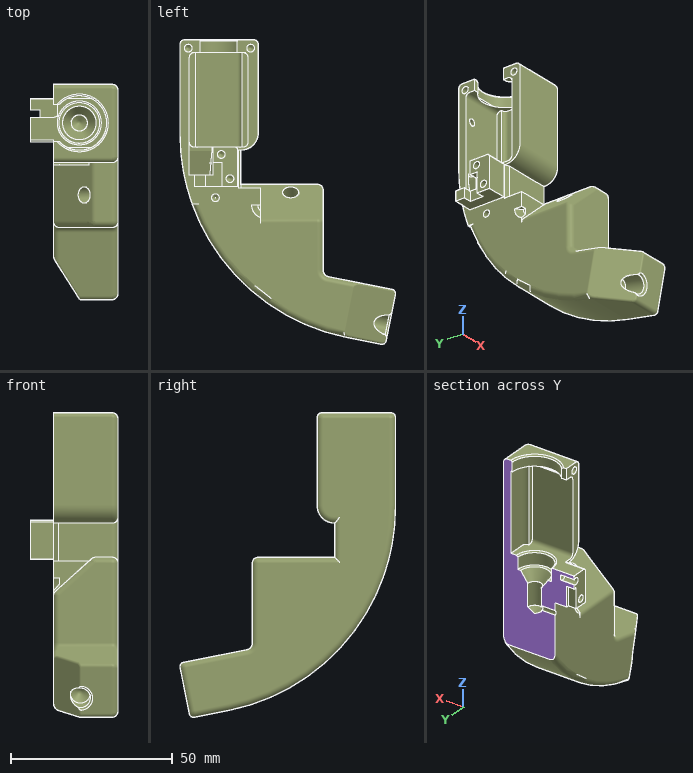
import cadquery as cq
import math


WIDTH = 20.0
HEIGHT = 94.33
LENGTH = 66.77
HOUSING_DEPTH = 24.3
HOUSING_FLOOR = 61.1
HOUSING_UNDERSIDE = 60.1
NECK_DEPTH = 18.9
GRIP_DEPTH = 44.4
GRIP_TOP = 49.6
SPINE_RADIUS = 64.3
TIP_ANGLE = 11.3
TIP_HEIGHT = 17.4

EDGE_RADIUS = 1.9
HOUSING_CORNER_RADIUS = 1.5
TIP_CORNER_RADIUS = 1.4
ELBOW_RADIUS = 1.95
NECK_CHAMFER_LENGTH = 1.6
NECK_CHAMFER_DEPTH = 0.8
SPINE_ROUNDING_TOP = 43.5

SLOPE_BOTTOM = 38.5
SLOPE_ANGLE = 42.0
TIP_BEVEL_LENGTH = 13.2
TIP_BEVEL_WIDTH = 8.2
TIP_BEVEL_RADIUS = 0.8

LEDGE_DEPTH = 25.0
LEDGE_TOP = 48.4
LEDGE_WIDTH = 11.8
SCOOP_RADIUS = 4.2
SCOOP_CENTRE_DEPTH = 26.4
SCOOP_CENTRE_HEIGHT = 43.2

BORE_X = 8.0
BORE_DEPTH = 12.0
CAVITY_HALF_WIDTH = 9.1
CAVITY_X = 15.4
CAVITY_CEILING = 90.3
CAVITY_RADIUS = 1.5
RECESS_HALF_WIDTH = 7.2
RECESS_X = 16.9
RECESS_RADIUS = 1.3
LID_RADIUS = 8.45
LID_SLOT_HALF_WIDTH = 5.7
RIM_CHAMFER = 0.5
SEAT_RADIUS = 6.3
SEAT_BOTTOM = 56.2
FUNNEL_TOP_RADIUS = 5.2
FUNNEL_BOTTOM_RADIUS = 2.5
FUNNEL_BOTTOM = 52.5
FUNNEL_HOLE_BOTTOM = 44.0

POCKET_BACK_DEPTH = 2.9
POCKET_FRONT_DEPTH = 10.3
POCKET_BOTTOM = 52.5
POCKET_TOP = 59.8
POCKET_TOP_X = 1.2
POCKET_BOTTOM_X = 3.0
POCKET_TAPER = 1.0

LATCH_REACH = 7.15
LATCH_BOTTOM = 48.9
LATCH_FRONT_DEPTH = 17.9
LATCH_STEP_DEPTH = 13.0
LATCH_STEP_HEIGHT = 56.3
LATCH_CHAMFER = 0.6
HOOK_BACK_DEPTH = 4.5
HOOK_FRONT_DEPTH = 8.0
HOOK_TOP = POCKET_BOTTOM
HOOK_ARM_REACH = 4.2

SCREW_DIAMETER = 2.4
SCREW_LENGTH = 5.0
DRILL_POINT_ANGLE = 118.0
HOUSING_SCREWS = [(2.6, 91.7), (21.9, 91.7)]
BODY_SCREW = (11.0, 45.4)
LATCH_SCREWS = [(12.8, 58.8), (15.5, 51.3)]
WALL_HOLE_X = 3.1
WALL_HOLE_Z = 81.5
SLOPE_HOLE_DIAMETER = 5.0
SLOPE_HOLE_LENGTH = 10.0
SLOPE_HOLE_X = 9.5
SLOPE_HOLE_DEPTH = 34.3
TIP_HOLE_DIAMETER = 6.2
TIP_HOLE_LENGTH = 8.0
TIP_HOLE_CHAMFER = 0.7
TIP_HOLE_X = 8.3
TIP_HOLE_RISE = 6.3

MARGIN = 5.0

SIN_TIP = math.sin(math.radians(TIP_ANGLE))
COS_TIP = math.cos(math.radians(TIP_ANGLE))
CORNER_SETBACK = TIP_CORNER_RADIUS * (SIN_TIP + COS_TIP - 1)
TIP_TOP = (-LENGTH - CORNER_SETBACK, TIP_HEIGHT * COS_TIP - CORNER_SETBACK)
TIP_BOTTOM = (TIP_TOP[0] + TIP_HEIGHT * SIN_TIP, -CORNER_SETBACK)
ELBOW = (-GRIP_DEPTH, TIP_TOP[1] + (LENGTH + CORNER_SETBACK - GRIP_DEPTH) * SIN_TIP / COS_TIP)
SPINE_END_Y = -SPINE_RADIUS * (1 - SIN_TIP)
SPINE_END_Z = TIP_BOTTOM[1] + (SPINE_END_Y - TIP_BOTTOM[0]) * SIN_TIP / COS_TIP
SPINE_TOP = SPINE_END_Z + SPINE_RADIUS * COS_TIP
SPINE_HALF_SWEEP = math.radians((90 - TIP_ANGLE) / 2)
SPINE_MIDDLE = (
    0,
    -SPINE_RADIUS * (1 - math.cos(SPINE_HALF_SWEEP)),
    SPINE_TOP - SPINE_RADIUS * math.sin(SPINE_HALF_SWEEP),
)


def block(x0, x1, depth0, depth1, z0, z1):
    """Box between two X values, two depths and two heights."""
    box = cq.Workplane("XY").box(x1 - x0, depth1 - depth0, z1 - z0, centered=False)
    return box.translate((x0, -depth1, z0))


def upright_cylinder(radius, z0, z1):
    """Cylinder on the axis of the housing bore."""
    plane = cq.Workplane("XY", origin=(BORE_X, -BORE_DEPTH, z0))
    return plane.circle(radius).extrude(z1 - z0)


def upright_cone(z0, radius0, z1, radius1):
    """Cone frustum on the axis of the housing bore."""
    base = cq.Vector(BORE_X, -BORE_DEPTH, z0)
    return cq.Workplane(cq.Solid.makeCone(radius0, radius1, z1 - z0, base, cq.Vector(0, 0, 1)))


def drill(diameter, length, mouth, direction):
    """Blind drilled hole: a cylinder from the mouth along the direction, ending in a drill point."""
    radius = diameter / 2
    start = cq.Vector(*mouth)
    axis = cq.Vector(*direction)
    point_length = radius / math.tan(math.radians(DRILL_POINT_ANGLE / 2))
    shank = cq.Solid.makeCylinder(radius, length, start, axis)
    point = cq.Solid.makeCone(radius, 0, point_length, start + axis * length, axis)
    return cq.Workplane(shank).union(cq.Workplane(point))


def near(solid, y, z):
    """The edge along X that is closest to the given corner of the profile."""
    return solid.edges("|X").edges(cq.selectors.NearestToPointSelector((WIDTH / 2, y, z)))


def extruded_profile():
    """The full-width side outline, with its corners rounded across the width."""
    belly_radius = HOUSING_DEPTH - NECK_DEPTH
    outline = (
        cq.Workplane("YZ")
        .moveTo(0, HEIGHT)
        .lineTo(-HOUSING_DEPTH, HEIGHT)
        .lineTo(-HOUSING_DEPTH, HOUSING_UNDERSIDE + belly_radius)
        .radiusArc((-NECK_DEPTH, HOUSING_UNDERSIDE), -belly_radius)
        .lineTo(-NECK_DEPTH, GRIP_TOP)
        .lineTo(-GRIP_DEPTH, GRIP_TOP)
        .lineTo(*ELBOW)
        .lineTo(*TIP_TOP)
        .lineTo(*TIP_BOTTOM)
        .lineTo(SPINE_END_Y, SPINE_END_Z)
        .threePointArc(SPINE_MIDDLE[1:], (0, SPINE_TOP))
        .close()
    )
    solid = outline.extrude(WIDTH)
    roundings = [
        (0, HEIGHT, HOUSING_CORNER_RADIUS),
        (-HOUSING_DEPTH, HEIGHT, HOUSING_CORNER_RADIUS),
        (-GRIP_DEPTH, GRIP_TOP, EDGE_RADIUS),
        (*ELBOW, ELBOW_RADIUS),
        (*TIP_TOP, TIP_CORNER_RADIUS),
        (*TIP_BOTTOM, TIP_CORNER_RADIUS),
    ]
    for y, z, radius in roundings:
        solid = near(solid, y, z).fillet(radius)
    return solid


def slope_cutter():
    """Prism that takes the sloping face off the upper grip."""
    rise = 2 * (GRIP_TOP - SLOPE_BOTTOM)
    run = rise / math.tan(math.radians(SLOPE_ANGLE))
    triangle = cq.Workplane("XZ", origin=(0, -NECK_DEPTH, 0)).polyline(
        [(0, SLOPE_BOTTOM), (run, SLOPE_BOTTOM + rise), (0, SLOPE_BOTTOM + rise)]
    )
    return triangle.close().extrude(GRIP_DEPTH).intersect(
        block(0, WIDTH, NECK_DEPTH, LENGTH, 0, HOUSING_UNDERSIDE - MARGIN)
    )


def tip_bevel_cutter():
    """Wedge that narrows the tip towards its end."""
    slope = TIP_BEVEL_WIDTH / TIP_BEVEL_LENGTH
    wedge = cq.Workplane("XY").polyline(
        [(0, TIP_BEVEL_LENGTH), (TIP_BEVEL_WIDTH + MARGIN * slope, -MARGIN), (0, -MARGIN)]
    )
    solid = wedge.close().extrude(TIP_HEIGHT + 2 * MARGIN).translate((0, 0, -MARGIN))
    return solid.rotate((0, 0, 0), (1, 0, 0), TIP_ANGLE).translate((0, *TIP_BOTTOM))


def rounded_body():
    """Body with sloping faces and rounded outer edges, sharp around the open side of the housing."""
    profile = extruded_profile()
    body = profile.cut(slope_cutter())
    half_rise = (GRIP_TOP - SLOPE_BOTTOM) / 2
    edge_points = [
        (0, -GRIP_DEPTH, (SLOPE_BOTTOM + ELBOW[1]) / 2),
        (0, -(NECK_DEPTH + GRIP_DEPTH) / 2, SLOPE_BOTTOM),
        SPINE_MIDDLE,
        (half_rise / math.tan(math.radians(SLOPE_ANGLE)), -GRIP_DEPTH, SLOPE_BOTTOM + half_rise),
    ]
    edges = body.faces(">X").edges()
    for point in edge_points:
        edges = edges.add(body.edges(cq.selectors.NearestToPointSelector(point)))
    body = edges.fillet(EDGE_RADIUS).cut(tip_bevel_cutter())
    bevel_top = (TIP_BEVEL_WIDTH / 2, (ELBOW[0] + TIP_TOP[0]) / 2 - MARGIN, TIP_TOP[1])
    body = body.edges(cq.selectors.NearestToPointSelector(bevel_top)).fillet(TIP_BEVEL_RADIUS)
    side = 2 * EDGE_RADIUS
    sharp_side = block(0, side, 0, HOUSING_DEPTH, HOUSING_UNDERSIDE, HEIGHT).union(
        block(0, side, 0, NECK_DEPTH / 2, SPINE_ROUNDING_TOP, HEIGHT)
    )
    return body.union(profile.intersect(sharp_side))


def ledge():
    """Step between the neck and the sloping face, scooped out beside the slope's lower edge."""
    solid = block(0, LEDGE_WIDTH, NECK_DEPTH - MARGIN, LEDGE_DEPTH, SLOPE_BOTTOM - EDGE_RADIUS, LEDGE_TOP)
    apex = cq.Vector(0, -SCOOP_CENTRE_DEPTH, SCOOP_CENTRE_HEIGHT)
    cone = cq.Solid.makeCone(SCOOP_RADIUS, SCOOP_RADIUS - EDGE_RADIUS, EDGE_RADIUS, apex, cq.Vector(1, 0, 0))
    lower_half = block(0, EDGE_RADIUS, NECK_DEPTH, LEDGE_DEPTH, SLOPE_BOTTOM, SCOOP_CENTRE_HEIGHT)
    return solid.cut(cq.Workplane(cone).intersect(lower_half))


def neck_chamfer_cutter():
    """Prism that bevels the front edge of the neck on the open side."""
    triangle = cq.Workplane("XY", origin=(0, 0, LEDGE_TOP)).polyline(
        [(0, -NECK_DEPTH + NECK_CHAMFER_DEPTH), (NECK_CHAMFER_LENGTH, -NECK_DEPTH), (0, -NECK_DEPTH)]
    )
    return triangle.close().extrude(HOUSING_UNDERSIDE - LEDGE_TOP)


def cavity_cutter():
    """Housing cavity with its deeper central recess, the lid opening and the slot beside it."""
    cavity = block(
        -MARGIN,
        CAVITY_X,
        BORE_DEPTH - CAVITY_HALF_WIDTH,
        BORE_DEPTH + CAVITY_HALF_WIDTH,
        HOUSING_FLOOR,
        CAVITY_CEILING,
    )
    cavity = cavity.edges("|X").fillet(CAVITY_RADIUS)
    recess = block(
        BORE_X,
        RECESS_X,
        BORE_DEPTH - RECESS_HALF_WIDTH,
        BORE_DEPTH + RECESS_HALF_WIDTH,
        HOUSING_FLOOR,
        CAVITY_CEILING,
    )
    recess = recess.edges("|Z and >X").fillet(RECESS_RADIUS)
    opening = upright_cylinder(LID_RADIUS, CAVITY_CEILING, HEIGHT)
    rim = upright_cone(HEIGHT - RIM_CHAMFER, LID_RADIUS, HEIGHT, LID_RADIUS + RIM_CHAMFER)
    slot = block(
        -MARGIN,
        BORE_X,
        BORE_DEPTH - LID_SLOT_HALF_WIDTH,
        BORE_DEPTH + LID_SLOT_HALF_WIDTH,
        CAVITY_CEILING,
        HEIGHT,
    )
    return cavity.union(recess).union(opening).union(rim).union(slot)


def seat_cutter():
    """Round seat in the cavity floor, narrowing through a funnel into a blind hole."""
    seat = upright_cylinder(SEAT_RADIUS, SEAT_BOTTOM, HOUSING_FLOOR)
    rim = upright_cone(HOUSING_FLOOR - RIM_CHAMFER, SEAT_RADIUS, HOUSING_FLOOR, SEAT_RADIUS + RIM_CHAMFER)
    funnel = upright_cone(FUNNEL_BOTTOM, FUNNEL_BOTTOM_RADIUS, SEAT_BOTTOM, FUNNEL_TOP_RADIUS)
    hole_mouth = (BORE_X, -BORE_DEPTH, FUNNEL_BOTTOM)
    hole = drill(2 * FUNNEL_BOTTOM_RADIUS, FUNNEL_BOTTOM - FUNNEL_HOLE_BOTTOM, hole_mouth, (0, 0, -1))
    return seat.union(rim).union(funnel).union(hole)


def pocket_cutter():
    """Pocket in the side face, open to the cavity, whose back leans inward and whose front wall tapers."""
    section = cq.Workplane("XZ", origin=(0, -POCKET_BACK_DEPTH, 0)).polyline(
        [
            (0, POCKET_BOTTOM),
            (POCKET_BOTTOM_X, POCKET_BOTTOM),
            (POCKET_TOP_X, POCKET_TOP),
            (POCKET_TOP_X, HOUSING_FLOOR + CAVITY_RADIUS),
            (0, HOUSING_FLOOR + CAVITY_RADIUS),
        ]
    )
    pocket = section.close().extrude(POCKET_FRONT_DEPTH - POCKET_BACK_DEPTH)
    plan = cq.Workplane("XY", origin=(0, 0, POCKET_BOTTOM)).polyline(
        [
            (0, -POCKET_BACK_DEPTH),
            (0, -POCKET_FRONT_DEPTH),
            (POCKET_BOTTOM_X, -POCKET_FRONT_DEPTH + POCKET_TAPER),
            (POCKET_BOTTOM_X, -POCKET_BACK_DEPTH),
        ]
    )
    return pocket.intersect(plan.close().extrude(HOUSING_FLOOR - POCKET_BOTTOM + CAVITY_RADIUS))


def latch():
    """Stepped latch block and the hook behind it, both standing out of the side face."""
    upper = block(-LATCH_REACH, 0, POCKET_FRONT_DEPTH, LATCH_FRONT_DEPTH, LATCH_STEP_HEIGHT, HOUSING_FLOOR)
    lower = block(-LATCH_REACH, 0, LATCH_STEP_DEPTH, LATCH_FRONT_DEPTH, LATCH_BOTTOM, HOUSING_FLOOR)
    latch_block = upper.union(lower).edges("|X and >Z and <Y").chamfer(LATCH_CHAMFER)
    tip = block(-LATCH_REACH, 0, HOOK_BACK_DEPTH, HOOK_FRONT_DEPTH, LATCH_BOTTOM, HOOK_TOP)
    arm = block(-HOOK_ARM_REACH, 0, HOOK_BACK_DEPTH, LATCH_STEP_DEPTH, LATCH_BOTTOM, HOOK_TOP)
    web = block(-HOOK_ARM_REACH, 0, POCKET_FRONT_DEPTH, LATCH_STEP_DEPTH, LATCH_BOTTOM, LATCH_STEP_HEIGHT)
    return latch_block.union(tip).union(arm).union(web)


def screw_hole_cutter():
    """Blind screw holes in the side face and the latch, and the hole through the rear wall."""
    mouths = [(-LATCH_REACH, -depth, z) for depth, z in LATCH_SCREWS]
    mouths += [(0, -depth, z) for depth, z in [*HOUSING_SCREWS, BODY_SCREW]]
    holes = drill(SCREW_DIAMETER, POCKET_BACK_DEPTH, (WALL_HOLE_X, 0, WALL_HOLE_Z), (0, -1, 0))
    for mouth in mouths:
        holes = holes.union(drill(SCREW_DIAMETER, SCREW_LENGTH, mouth, (1, 0, 0)))
    return holes


def slope_hole_cutter():
    """Blind hole square to the sloping face."""
    angle = math.radians(SLOPE_ANGLE)
    mouth = (SLOPE_HOLE_X, -SLOPE_HOLE_DEPTH, SLOPE_BOTTOM + SLOPE_HOLE_X * math.tan(angle))
    return drill(SLOPE_HOLE_DIAMETER, SLOPE_HOLE_LENGTH, mouth, (math.sin(angle), 0, -math.cos(angle)))


def tip_hole_cutter():
    """Countersunk blind hole in the end of the tip, along the tip."""
    mouth = (TIP_HOLE_X, TIP_BOTTOM[0] - TIP_HOLE_RISE * SIN_TIP, TIP_BOTTOM[1] + TIP_HOLE_RISE * COS_TIP)
    inward = (0, COS_TIP, SIN_TIP)
    radius = TIP_HOLE_DIAMETER / 2
    countersink = cq.Solid.makeCone(
        radius + TIP_HOLE_CHAMFER, radius, TIP_HOLE_CHAMFER, cq.Vector(*mouth), cq.Vector(*inward)
    )
    return drill(TIP_HOLE_DIAMETER, TIP_HOLE_LENGTH, mouth, inward).union(cq.Workplane(countersink))


result = (
    rounded_body()
    .union(ledge())
    .cut(neck_chamfer_cutter())
    .cut(cavity_cutter())
    .cut(pocket_cutter())
    .union(latch())
    .cut(seat_cutter())
    .cut(screw_hole_cutter())
    .cut(slope_hole_cutter())
    .cut(tip_hole_cutter())
)